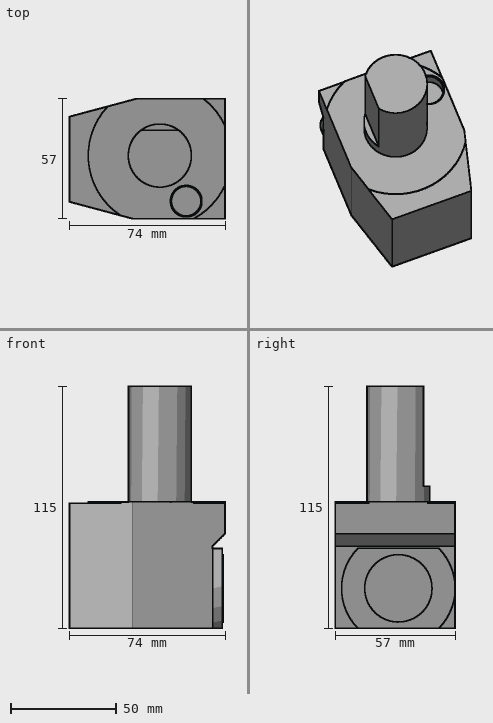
import cadquery as cq
import math


body_left = -43.0
body_right = 31.0
body_front = -30.0
body_back = 27.0
body_bottom = -60.0
taper_angle = 15.0
front_taper_length = 30.0
back_taper_length = 31.75

seat_diameter = 68.0
seat_height = 0.5
body_top = -seat_height

shank_diameter = 29.99
shank_length = 55.0
flat_offset = 12.0
flat_start = 7.5

lip_depth = 15.0
relief_depth = 6.0

boss_diameter = 54.0
boss_height = 38.0
boss_length = 4.7
boss_center_y = 0.0
boss_center_z = body_bottom + boss_height / 2
boss_face_diameter = 32.0
boss_face_height = 0.4

hole_diameter = 14.01
hole_depth = 7.5
hole_chamfer = 0.5
hole_radius_from_axis = 25.0
hole_angle = -60.0


def body_profile():
    """Plan outline of the block, tapering towards its left end."""
    slope = math.tan(math.radians(taper_angle))
    return cq.Workplane("XY").workplane(offset=body_bottom).polyline([
        (body_left, body_front + front_taper_length * slope),
        (body_left + front_taper_length, body_front),
        (body_right, body_front),
        (body_right, body_back),
        (body_left + back_taper_length, body_back),
        (body_left, body_back - back_taper_length * slope),
    ]).close()


def make_body():
    """Block with a round raised seat trimmed to the block outline."""
    block = body_profile().extrude(body_top - body_bottom)
    seat = cq.Workplane("XY").circle(seat_diameter / 2).extrude(-seat_height)
    seat = seat.intersect(body_profile().extrude(-body_bottom))
    return block.union(seat)


def relief_cut():
    """Relief of the right face, ending in a 45 degree slope under the lip."""
    relieved_face = body_right - relief_depth
    profile = cq.Workplane("XZ", origin=(0, body_back, 0)).polyline([
        (body_right, -lip_depth),
        (relieved_face, -lip_depth - relief_depth),
        (relieved_face, body_bottom),
        (body_right, body_bottom),
    ]).close()
    return profile.extrude(body_back - body_front)


def make_boss():
    """Stepped round boss with two flats, pointing to +X, rising from the relieved face."""
    base = (body_right - relief_depth, boss_center_y, boss_center_z)
    boss = cq.Workplane("YZ", origin=base).circle(boss_diameter / 2).extrude(boss_length)
    flats = cq.Workplane("YZ", origin=base).rect(boss_diameter, boss_height).extrude(boss_length)
    boss = boss.intersect(flats)
    face_center = (base[0] + boss_length, boss_center_y, boss_center_z)
    face_pad = cq.Workplane("YZ", origin=face_center).circle(boss_face_diameter / 2).extrude(boss_face_height)
    return boss.union(face_pad)


def make_shank():
    """Cylindrical shank whose back side is flattened above a full round collar."""
    radius = shank_diameter / 2
    flat_cut = cq.Workplane("XY").box(
        shank_diameter, radius - flat_offset, shank_length - flat_start, centered=(True, False, False)
    ).translate((0, flat_offset, flat_start))
    return cq.Workplane("XY").circle(radius).extrude(shank_length).cut(flat_cut)


def hole_cut():
    """Flat-bottomed hole with a chamfered mouth."""
    angle = math.radians(hole_angle)
    center = (hole_radius_from_axis * math.cos(angle), hole_radius_from_axis * math.sin(angle), 0)
    radius = hole_diameter / 2
    half_section = cq.Workplane("XZ", origin=center).polyline([
        (0, 0),
        (radius + hole_chamfer, 0),
        (radius, -hole_chamfer),
        (radius, -hole_depth),
        (0, -hole_depth),
    ]).close()
    return half_section.revolve(360, (0, 0), (0, 1))


result = make_body().cut(relief_cut()).union(make_boss()).union(make_shank()).cut(hole_cut())